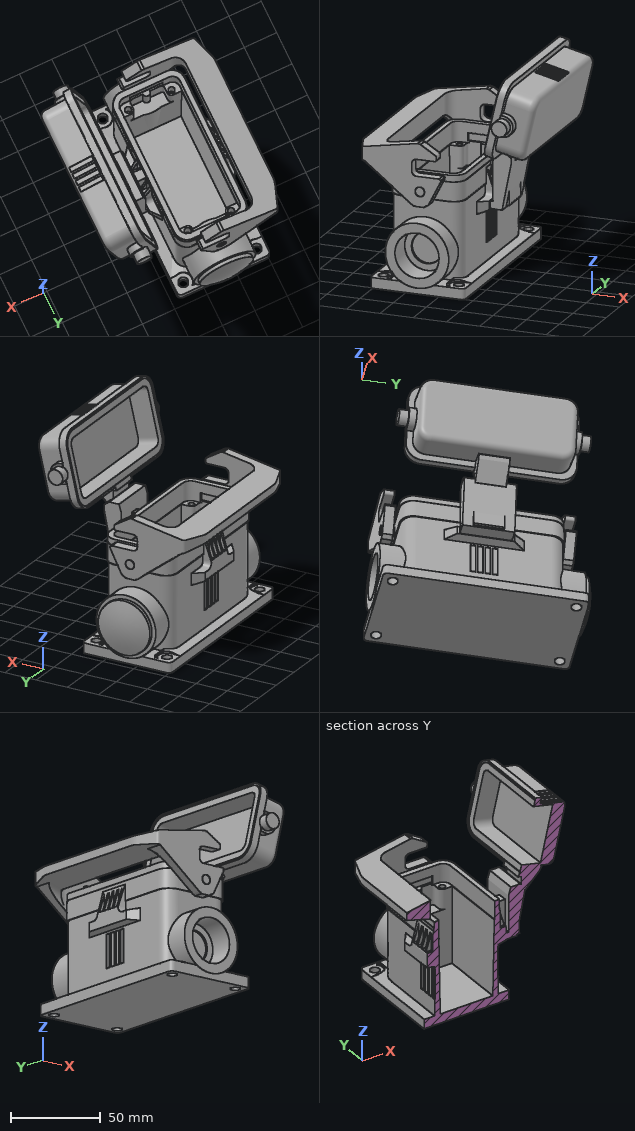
import cadquery as cq
import math


flange_width = 56.9
flange_length = 117.4
flange_height = 6.5
flange_corner = 2.5
screw_hole = 5.8
screw_x = 22.6
screw_y = 52.4
gusset_height = 1.1
gusset_ramp = 6.3
gusset_inner_x = 16.8
gusset_near_x = 21.8
gusset_near_y = 36.5
gusset_far_x = 27.7
gusset_far_y = 47.3
relief_radius = 5.5
relief_diagonal = relief_radius * math.sqrt(0.5)
relief_dx = math.sqrt(relief_radius**2 - (screw_y - gusset_far_y)**2)

body_width = 43.0
body_length = 92.9
body_corner = 7.8
collar_step = 0.5
rim_step = 0.1
collar_bottom = 52.6
rim_bottom = 64.3
body_top = 68.2

mouth_width = 37.2
mouth_length = 86.3
mouth_corner = 4.8
well_length = 72.1
cavity_floor = 6.3
cavity_draft = 1.1
post_top = 56.0
ledge_top = 43.0
ledge_width = 21.0
ledge_rib_radius = 2.2
ledge_post_round = 2.5
end_recess_width = 20.2
end_recess_depth = 1.3
end_recess_bottom = 57.2
end_recess_top = 61.9
bulge_width = 13.9
bulge_depth = 1.3
post_hole = 3.8
post_hole_depth = 10.1
post_x = 13.4
post_y = 38.7

gland_end = 58.8
gland_radius = 19.1
gland_z = 22.6
gland_bore_radius = 13.3
gland_bore_depth = 14.8
knockout_radius = 9.2
knockout_depth = 1.3
cap_radius = 16.6
cap_rim = 2.3
cap_height = 5.5

groove_width = 2.9
groove_pitch = 4.2
groove_count = 4
groove_depth = 0.4
groove_bottom = 17.3
groove_top = 37.1
guard_reach = 26.6
guard_bar_half = 22.8
guard_face_half = 16.3
guard_tower_half = 9.9
guard_tower_top = 62.2
guard_face_top = 48.1
guard_bar_top = 45.8
guard_bar_bottom = 38.5
guard_face_bottom = 39.6
guard_blend = 2.9
guard_draft = 10.0
guard_slot_bottom = 49.1
guard_slot_top = 61.2
guard_slot_back = 22.6

lever_half = 54.7
lever_arm = 6.1
lever_back = -40.1
lever_opening_back = -24.0
lever_opening_corner = 6.3
lever_bevel_length = 15.2
lever_bevel_width = 5.5
bevel_back_round = 11.4
bevel_side_round = 1.6
plate_bottom_outer = 75.2
plate_bottom_inner = 70.7
pivot_z = 59.0
pivot_radius = 2.8
pivot_recess = 0.3

hinge_half = 14.9
hinge_rib_half = 2.9
hinge_front = 28.0
hinge_bottom = 40.0
hinge_arm_half = 8.9
hinge_tail_x = 35.4
hinge_tail_bottom = 41.0
hinge_tail_top = 49.3

cover_x = 47.7
cover_z = 101.7
cover_tilt = 13.0
cover_face = -7.5
cover_rim_back = -2.7
cover_back = 14.9
cover_rim_height = 47.5
cover_rim_length = 97.4
cover_rim_corner = 9.2
seal_border = 1.3
seal_depth = 0.3
cover_shell_height = 39.7
cover_shell_length = 90.1
cover_shell_corner = 7.5
cover_back_fillet = 3.5
cover_recess_height = 36.2
cover_recess_length = 86.5
cover_recess_corner = 4.0
cover_recess_depth = 13.3
cover_pin_radius = 4.62
cover_boss_radius = 6.2
cover_boss_end = 49.3
cover_groove_start = -1.4
cover_groove_end = 12.9
cover_groove_depth = 0.5
cover_lip_bottom = -25.8
cover_lip_back = -5.2

groove_centres = [(i - (groove_count - 1) / 2) * groove_pitch for i in range(groove_count)]


def span_box(x0, x1, y0, y1, z0, z1):
    """Box between two opposite corners."""
    return cq.Workplane("XY").box(x1 - x0, y1 - y0, z1 - z0, centered=False).translate((x0, y0, z0))


def rounded_block(width, length, corner, z0, z1):
    """Upright block centred on Z with rounded vertical edges."""
    block = cq.Workplane("XY").workplane(offset=z0).rect(width, length).extrude(z1 - z0)
    return block.edges("|Z").fillet(corner)


def profile_xz(points, half):
    """Outline in the XZ plane, extruded symmetrically about Y = 0."""
    return cq.Workplane("XZ").polyline(points).close().extrude(half, both=True)


def cylinder_y(radius, x, z, y0, y1):
    """Cylinder along Y between two Y positions."""
    return cq.Workplane("XZ", origin=(x, y0, z)).circle(radius).extrude(y0 - y1)


def make_flange():
    """Flange plate with a ramped gusset, relieved around the screw hole, at each corner."""
    flange = rounded_block(flange_width, flange_length, flange_corner, 0, flange_height)
    outline = cq.Workplane("XY").workplane(offset=flange_height)
    outline = outline.moveTo(gusset_inner_x, gusset_near_y).lineTo(gusset_near_x, gusset_near_y)
    outline = outline.lineTo(gusset_far_x, gusset_far_y).lineTo(screw_x + relief_dx, gusset_far_y)
    outline = outline.threePointArc((screw_x - relief_radius, screw_y),
                                    (screw_x - relief_diagonal, screw_y + relief_diagonal))
    outline = outline.lineTo(gusset_inner_x, screw_y + relief_diagonal).close()
    prism = outline.extrude(gusset_height)

    edge = cq.Vector(gusset_far_x - gusset_near_x, gusset_far_y - gusset_near_y, 0)
    uphill = cq.Vector(-edge.y, edge.x, 0)
    start = cq.Plane(origin=(gusset_far_x, gusset_far_y, flange_height), xDir=uphill, normal=edge)
    ramp = cq.Workplane(start).polyline([
        (0, 0), (gusset_ramp, gusset_height), (flange_width, gusset_height), (flange_width, 0),
    ]).close().extrude(flange_length, both=True)
    gusset = prism.intersect(ramp)
    for pair in (gusset, gusset.mirror("YZ")):
        flange = flange.union(pair).union(pair.mirror("XZ"))
    return flange


def make_body():
    """Upright box with a slightly wider collar and a rim around its mouth."""
    body = rounded_block(body_width, body_length, body_corner, 0, collar_bottom)
    for step, z0, z1 in ((collar_step, collar_bottom, rim_bottom),
                         (collar_step - rim_step, rim_bottom, body_top)):
        body = body.union(rounded_block(body_width + 2 * step, body_length + 2 * step, body_corner, z0, z1))
    return body


def make_cavity():
    """Mouth above the corner posts, drafted well between them, lower ledge at each end."""
    cavity = rounded_block(mouth_width, mouth_length, mouth_corner, post_top, body_top)
    well = cq.Workplane("XY").workplane(offset=body_top).rect(mouth_width, well_length)
    cavity = cavity.union(well.extrude(cavity_floor - body_top, taper=cavity_draft))
    ledge_cut = rounded_block(ledge_width, mouth_length, 1.3, ledge_top, body_top)
    cavity = cavity.union(ledge_cut)
    mid_z = (ledge_top + post_top) / 2
    for y in (-well_length / 2, well_length / 2):
        for x in (-ledge_width / 2, ledge_width / 2):
            corner = cq.selectors.BoxSelector((x - 1.3, y - 1.3, mid_z - 1.3), (x + 1.3, y + 1.3, mid_z + 1.3))
            cavity = cavity.edges(corner).fillet(ledge_post_round)
    reach = mouth_length / 2 + end_recess_depth
    return cavity.union(span_box(-end_recess_width / 2, end_recess_width / 2, -reach, reach,
                                 end_recess_bottom, end_recess_top))


def make_end_details():
    """Half-round rib above each ledge and a shallow bulge on the well's end walls."""
    wall_y = mouth_length / 2
    well_y = well_length / 2
    rib = cq.Workplane("XY", origin=(0, wall_y, ledge_top - 1.3)).circle(ledge_rib_radius)
    rib = rib.extrude(end_recess_bottom - ledge_top + 1.3)
    bulge = cq.Workplane("XY", origin=(0, 0, cavity_floor))
    bulge = bulge.moveTo(-bulge_width / 2, well_y).threePointArc((0, well_y - bulge_depth), (bulge_width / 2, well_y))
    bulge = bulge.lineTo(bulge_width / 2, well_y + 2.5).lineTo(-bulge_width / 2, well_y + 2.5).close()
    details = rib.union(bulge.extrude(ledge_top - cavity_floor))
    return details.union(details.mirror("XZ"))


def make_post_holes():
    """Blind screw holes in the tops of the four corner posts."""
    spots = [(sx * post_x, sy * post_y) for sx in (-1, 1) for sy in (-1, 1)]
    holes = cq.Workplane("XY").workplane(offset=post_top).pushPoints(spots).circle(post_hole / 2)
    return holes.extrude(-post_hole_depth)


def make_gland_cap():
    """Plug with a short cylindrical rim and a domed end, on the +Y gland."""
    y0 = gland_end
    rim_y = y0 + cap_rim
    top_y = y0 + cap_height
    dome = top_y - rim_y
    sphere = (cap_radius**2 + dome**2) / (2 * dome)
    mid_x = cap_radius / 2
    mid_y = top_y - sphere + math.sqrt(sphere**2 - mid_x**2)
    outline = cq.Workplane("XY").moveTo(0, y0 - 1.3).lineTo(cap_radius, y0 - 1.3).lineTo(cap_radius, rim_y)
    outline = outline.threePointArc((mid_x, mid_y), (0, top_y)).close()
    return outline.revolve(360, (0, 0, 0), (0, 1, 0)).translate((0, 0, gland_z))


def make_guard():
    """Sloped tower on a beveled bar, on the -X wall, with finger slots down the tower."""
    wall = -body_width / 2
    bar = cq.Workplane("XY").workplane(offset=guard_bar_bottom).polyline([
        (wall + 1.3, -guard_bar_half), (wall, -guard_bar_half), (-guard_reach, -guard_face_half),
        (-guard_reach, guard_face_half), (wall, guard_bar_half), (wall + 1.3, guard_bar_half),
    ]).close().extrude(guard_tower_top - guard_bar_bottom)
    side = profile_xz([
        (wall + 1.3, guard_bar_bottom), (wall, guard_bar_bottom), (-guard_reach, guard_face_bottom),
        (-guard_reach, guard_face_top), (wall - collar_step, guard_tower_top), (wall + 1.3, guard_tower_top),
    ], guard_bar_half)
    foot = guard_tower_half + guard_blend
    shoulder = guard_bar_top + guard_blend
    bow = guard_blend * (1 - math.sqrt(0.5))
    front = cq.Workplane("YZ", origin=(wall, 0, 0)).moveTo(-guard_bar_half, guard_bar_bottom)
    front = front.lineTo(guard_bar_half, guard_bar_bottom).lineTo(guard_bar_half, guard_bar_top)
    front = front.lineTo(foot, guard_bar_top)
    front = front.threePointArc((guard_tower_half + bow, guard_bar_top + bow), (guard_tower_half, shoulder))
    front = front.lineTo(guard_tower_half, guard_tower_top).lineTo(-guard_tower_half, guard_tower_top)
    front = front.lineTo(-guard_tower_half, shoulder)
    front = front.threePointArc((-guard_tower_half - bow, guard_bar_top + bow), (-foot, guard_bar_top))
    front = front.lineTo(-guard_bar_half, guard_bar_top).close()
    front = front.extrude(-guard_reach - wall, taper=guard_draft)
    guard = bar.intersect(side).intersect(front)
    for y in groove_centres:
        guard = guard.cut(span_box(-guard_reach - 1.3, -guard_slot_back, y - groove_width / 2,
                                   y + groove_width / 2, guard_slot_bottom, guard_slot_top))
    return guard


def make_wall_grooves():
    """Shallow upright grooves below the guard, on the -X wall."""
    wall = -body_width / 2
    grooves = cq.Workplane("XY")
    for y in groove_centres:
        grooves = grooves.union(span_box(wall, wall + groove_depth, y - groove_width / 2,
                                         y + groove_width / 2, groove_bottom, groove_top))
    return grooves


def make_lever():
    """Hooked side arms joined by a back plate, hung on two pivot pins."""
    inner = lever_half - lever_arm
    outline = cq.Workplane("XZ").polyline([
        (lever_back, plate_bottom_outer), (lever_back, 80.5), (-1.3, 87.3), (0.5, 86.9), (10.0, 81.1),
        (10.0, 77.9), (-4.8, 77.9), (-4.8, 68.0), (11.5, 68.0), (12.8, 67.3), (12.7, 66.4), (5.2, 51.7), (2.5, 50.1),
        (-3.3, 50.1), (-5, 51.1), (-33.3, 73.1),
    ]).close().extrude(lever_half, both=True)
    outline = outline.edges("|Y").edges(cq.selectors.BoxSelector((-6.3, -63.3, 67), (-3.8, 63.3, 78.5))).fillet(2.9)
    outline = outline.edges("|Y").edges(cq.selectors.BoxSelector((8.9, -63.3, 77.2), (11.4, 63.3, 82.2))).fillet(1.1)

    bevel_y = lever_half - lever_bevel_length
    plan = cq.Workplane("XY").polyline([
        (lever_back, -bevel_y), (lever_back + lever_bevel_width, -lever_half), (25.3, -lever_half),
        (25.3, lever_half), (lever_back + lever_bevel_width, lever_half), (lever_back, bevel_y),
    ]).close().extrude(body_top * 2)
    plan = plan.edges("|Z and <X").fillet(bevel_back_round)
    plan = plan.edges("|Z").edges(cq.selectors.BoxSelector((-36.7, -63.3, 0), (-34.2, 63.3, 151.8))).fillet(bevel_side_round)
    lever = outline.intersect(plan)

    opening = span_box(lever_opening_back, 38, -inner, inner, 0, 126.5)
    opening = opening.edges("|Z and <X").fillet(lever_opening_corner)

    run = lever_opening_back - lever_back
    slope = math.degrees(math.atan2(plate_bottom_outer - plate_bottom_inner, run))
    under = span_box(0, 50.6, -inner, inner, -38, 0).edges("|X and >Z").fillet(lever_opening_corner)
    under = under.rotate((0, 0, 0), (0, 1, 0), slope)
    under = under.translate((lever_back, 0, plate_bottom_outer))
    lever = lever.cut(opening).cut(under)

    for side in (-1, 1):
        hole = cylinder_y(pivot_radius, 0, pivot_z, side * inner, side * lever_half)
        pin = cylinder_y(pivot_radius, 0, pivot_z, side * (body_length / 2 - 1.3), side * (lever_half - pivot_recess))
        lever = lever.cut(hole).union(pin)
    return lever


def make_hinge():
    """Rear hinge block, the rib that joins it to the body, and the cover's arm and tail."""
    block = profile_xz([
        (26.3, hinge_bottom), (26.3, 44.5), (hinge_front, 44.5), (hinge_front, 68.6), (29.5, 73.6),
        (35.8, 73.6), (39.0, 71.4), (39.1, 67.8), (35.4, 49.3), (33.7, hinge_bottom),
    ], hinge_half)
    rib = span_box(body_width / 2 - 1.3, hinge_front + 1.3, -hinge_rib_half, hinge_rib_half,
                   hinge_bottom, rim_bottom)
    arm = profile_xz([
        (37.3, 69.0), (36.6, 72.1), (36.6, 79.1), (38.6, 80.3), (40.5, 83.5), (48.7, 82.6), (50.2, 80.0),
        (49.0, 77.7), (39.3, 68.2),
    ], hinge_arm_half)
    tail = span_box(hinge_front, hinge_tail_x, -hinge_arm_half, hinge_arm_half, hinge_tail_bottom, hinge_tail_top)
    return block.union(rib).union(arm).union(tail)


def cover_block(height, length, corner, x0, x1):
    """Block across the cover's own frame with rounded corners."""
    block = span_box(x0, x1, -length / 2, length / 2, -height / 2, height / 2)
    return block.edges("|X").fillet(corner)


def make_cover():
    """Hollow cover with a rim, side pins on bosses and finger grooves, tilted into place."""
    rim = cover_block(cover_rim_height, cover_rim_length, cover_rim_corner, cover_face, cover_rim_back)
    seal = cover_block(cover_rim_height - 2 * seal_border, cover_rim_length - 2 * seal_border,
                       cover_rim_corner - seal_border, cover_face, cover_face + seal_depth)
    rim = rim.cut(seal)
    shell = cover_block(cover_shell_height, cover_shell_length, cover_shell_corner, cover_rim_back, cover_back)
    shell = shell.faces(">X").edges().fillet(cover_back_fillet)
    cover = rim.union(shell)
    lip = span_box(cover_face, cover_lip_back, -hinge_arm_half, hinge_arm_half,
                   cover_lip_bottom, -cover_rim_height / 2 + 1.3)
    cover = cover.union(lip)
    behind_rim = span_box(cover_rim_back, cover_back, -lever_half, lever_half, -lever_half, lever_half)
    for side in (-1, 1):
        start = side * (cover_shell_length / 2 - 1.3)
        boss = cylinder_y(cover_boss_radius, 0, 0, start, side * cover_boss_end)
        cover = cover.union(boss.intersect(behind_rim))
        cover = cover.union(cylinder_y(cover_pin_radius, 0, 0, start, side * lever_half))
    cover = cover.union(span_box(cover_rim_back, 0, -cover_boss_end, cover_boss_end,
                                 -cover_boss_radius, cover_boss_radius))
    cover = cover.cut(cover_block(cover_recess_height, cover_recess_length, cover_recess_corner,
                                  cover_face, cover_face + cover_recess_depth))
    top = cover_shell_height / 2
    for y in groove_centres:
        cover = cover.cut(span_box(cover_groove_start, cover_groove_end, y - groove_width / 2,
                                   y + groove_width / 2, top - cover_groove_depth, top))
    cover = cover.rotate((0, 0, 0), (0, 1, 0), cover_tilt)
    return cover.translate((cover_x, 0, cover_z))


guard = make_guard()
wall_grooves = make_wall_grooves()

housing = make_flange().union(make_body())
housing = housing.union(cylinder_y(gland_radius, 0, gland_z, -gland_end, gland_end))
housing = housing.union(guard).union(guard.mirror("YZ"))
housing = housing.cut(wall_grooves).cut(wall_grooves.mirror("YZ"))
housing = housing.cut(make_cavity()).union(make_end_details()).cut(make_post_holes())

bore_end = -gland_end + gland_bore_depth
housing = housing.cut(cylinder_y(gland_bore_radius, 0, gland_z, -gland_end, bore_end))
housing = housing.cut(cylinder_y(knockout_radius, 0, gland_z, bore_end, bore_end + knockout_depth))
housing = housing.union(make_gland_cap())

screw_spots = [(sx * screw_x, sy * screw_y) for sx in (-1, 1) for sy in (-1, 1)]
housing = housing.cut(cq.Workplane("XY").pushPoints(screw_spots).circle(screw_hole / 2).extrude(flange_height))

result = housing.union(make_lever()).union(make_hinge()).union(make_cover())